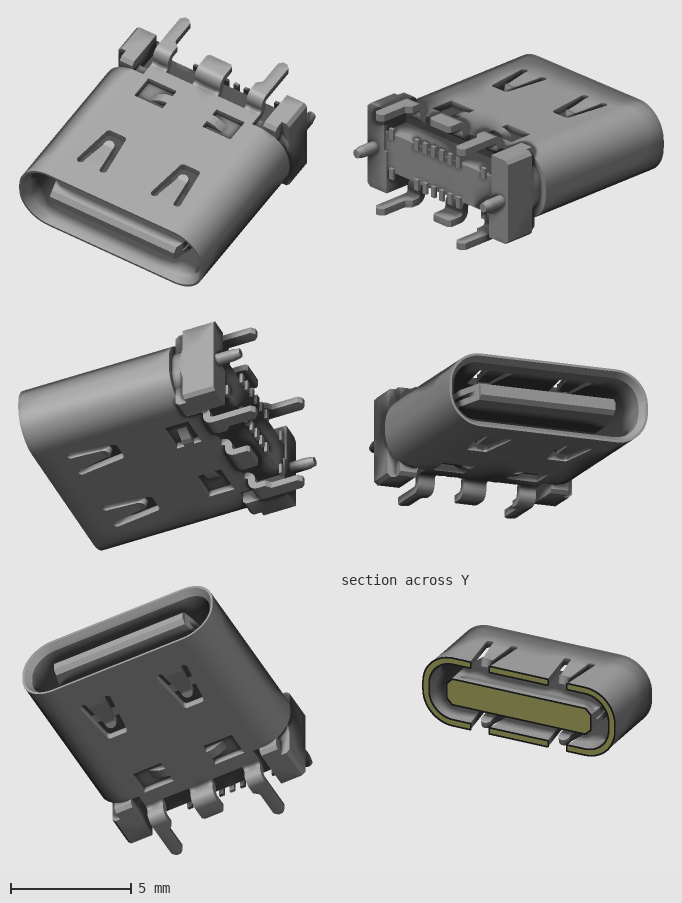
import cadquery as cq
import math


shell_width = 8.94
shell_height = 3.15
shell_corner = 1.41
shell_length = 6.85
wall = 0.31
rim = 0.1
lead_in_depth = 0.3
cavity_depth = 5.35
shell_top = shell_height / 2
inner_top = shell_top - wall

ledge_front = 7.43
plate_half_width = 2.65
ledge_half_width = 3.19
ledge_top = 0.87
ledge_rear = 8.67
collar_end = 7.21
flare_end = 7.35
flare = flare_end - collar_end

block_half_width = shell_width / 2 - wall
block_half_height = 1.9
block_rear = 8.75
block_step_half_width = 3.8
block_top_inner = ledge_half_width
block_bottom_inner = 3.03
block_chamfer = 0.15
peg_diameter = 0.5
peg_tip_diameter = 0.38
peg_x = 3.75
peg_shoulder = 9.48
peg_tip = 9.8

leg_tip = 9.9
legs_height = 4.6
leg_outer_z = legs_height / 2
leg_small_bend = 0.16
leg_large_bend = 0.46
leg_outer_x = plate_half_width
leg_wide = 0.74
leg_narrow = 0.51
leg_neck_front = 8.36
leg_neck_rear = 8.55
leg_tip_chamfer = 0.16
mid_leg_left = -0.61
mid_leg_top_right = 0.61
mid_leg_bottom_right = 0.42
mid_leg_chamfer = 0.1

contact_pitch = 0.495
contact_width = 0.23
contact_rear = 8.8
contact_low = 0.66
contact_high = 1.16
contact_slots = (0.5, 1.5, 2.5, 5.5)

tongue_front = 0.07
tongue_half_width = 3.36
tongue_nose_half_width = 3.03
tongue_half_height = 0.36
tongue_nose_half_height = 0.17
tongue_chamfer_end = 0.26
tongue_taper_end = 1.485
base_half_height = 0.6
base_slope_front = 2.94
base_front = 3.18
base_corner = 0.26
latch_groove_front = 0.495
latch_groove_height = 0.18
latch_groove_depth = 0.25

spring_x = 1.8
spring_root = 1.54
spring_root_half = 0.4
spring_neck = 2.63
spring_neck_half = 0.24
spring_dip = 0.08
spring_dip_end = 2.71
spring_tip = 2.98
slot_half_outer = 0.71
slot_front = 1.28
slot_rear = 3.46
slot_rear_half = 0.48
slot_corner = 0.16

barb_window_inner = 0.97
barb_window_outer = 2.35
barb_window_front = 5.64
barb_window_rear = 6.77
barb_front = 6.0
barb_rear = 6.43
barb_bend = 1.09
barb_knee = 1.3
barb_knee_drop = 0.05
barb_tip = 1.76


def box(x0, x1, y0, y1, z0, z1):
    return cq.Workplane("XY").box(x1 - x0, y1 - y0, z1 - z0, centered=False).translate((x0, y0, z0))


def facing_back(y):
    """Workplane at the given y whose extrusions run toward +Y."""
    return cq.Workplane("XZ", origin=(0, y, 0)).transformed(rotate=(0, 180, 0))


def profile_wire(inset, y):
    """Rounded shell outline, moved inward by inset."""
    slab = facing_back(y).rect(shell_width - 2 * inset, shell_height - 2 * inset).extrude(0.1)
    return slab.edges("|Y").fillet(shell_corner - inset).faces("<Y").wires().val()


def profile_prism(inset, y0, y1):
    face = cq.Face.makeFromWires(profile_wire(inset, y0))
    return cq.Workplane(cq.Solid.extrudeLinear(face, cq.Vector(0, y1 - y0, 0)))


def profile_taper(inset0, y0, inset1, y1):
    return cq.Workplane(cq.Solid.makeLoft([profile_wire(inset0, y0), profile_wire(inset1, y1)], True))


def flip(body):
    """Copy turned over to the underside."""
    return body.mirror("XY")


def mirror_x(body):
    return body.union(body.mirror("YZ"))


def make_shell():
    shell = profile_prism(0, 0, shell_length)
    cavity = profile_prism(wall, 0, cavity_depth)
    lead_in = profile_taper(rim, 0, wall, lead_in_depth)
    plates = box(-plate_half_width, plate_half_width, shell_length, ledge_front, -shell_top, shell_top)
    return shell.cut(cavity).cut(lead_in).union(plates)


def make_rear_plastic():
    collar = profile_prism(wall, cavity_depth, flare_end)
    flared_ring = profile_taper(wall, collar_end, wall - flare, flare_end)
    flared_ring = flared_ring.cut(
        box(-ledge_half_width, ledge_half_width, collar_end, flare_end, -shell_height, shell_height)
    )
    collar = collar.union(flared_ring)
    clip = box(-block_half_width, block_half_width, cavity_depth, flare_end, -shell_height, shell_height)
    middle_slab = box(-ledge_half_width, ledge_half_width, shell_length, ledge_front, -inner_top, inner_top)
    ledge = box(-ledge_half_width, ledge_half_width, ledge_front, ledge_rear, -ledge_top, ledge_top)
    return collar.intersect(clip).union(middle_slab).union(ledge)


def make_block_half(inner_x):
    """Upper half of the right-hand block."""
    rear = box(inner_x, block_half_width, flare_end, block_rear, 0, block_half_height)
    rear = rear.edges("|Y and >X and >Z").chamfer(block_chamfer)
    front = box(inner_x, block_step_half_width, shell_length, flare_end, 0, block_half_height)
    front = front.edges("|X and <Y and >Z").chamfer(block_chamfer)
    return rear.union(front)


def make_peg():
    return (
        cq.Workplane("XY")
        .moveTo(0, ledge_rear)
        .lineTo(peg_diameter / 2, ledge_rear)
        .lineTo(peg_diameter / 2, peg_shoulder)
        .lineTo(peg_tip_diameter / 2, peg_tip)
        .lineTo(0, peg_tip)
        .close()
        .revolve(360, (0, 0, 0), (0, 1, 0))
        .translate((peg_x, 0, 0))
    )


def make_leg_sheet():
    """S-bent sheet rising from the top plate and running back at leg height."""
    wall_outer = ledge_front + leg_small_bend
    wall_inner = wall_outer + wall
    low_center = shell_top + leg_small_bend
    high_y = wall_outer + leg_large_bend
    high_center = leg_outer_z - leg_large_bend
    diagonal = math.sqrt(0.5)
    outer_bend = leg_small_bend + wall
    inner_bend = leg_large_bend - wall
    return (
        cq.Workplane("YZ")
        .moveTo(ledge_front, inner_top)
        .lineTo(ledge_front, shell_top)
        .threePointArc(
            (ledge_front + leg_small_bend * diagonal, low_center - leg_small_bend * diagonal),
            (wall_outer, low_center),
        )
        .lineTo(wall_outer, high_center)
        .threePointArc(
            (high_y - leg_large_bend * diagonal, high_center + leg_large_bend * diagonal),
            (high_y, leg_outer_z),
        )
        .lineTo(leg_tip, leg_outer_z)
        .lineTo(leg_tip, leg_outer_z - wall)
        .lineTo(high_y, leg_outer_z - wall)
        .threePointArc(
            (high_y - inner_bend * diagonal, high_center + inner_bend * diagonal),
            (wall_inner, high_center),
        )
        .lineTo(wall_inner, low_center)
        .threePointArc(
            (ledge_front + outer_bend * diagonal, low_center - outer_bend * diagonal),
            (ledge_front, inner_top),
        )
        .close()
        .extrude(plate_half_width, both=True)
    )


def make_legs(mid_leg_right):
    inner_wide = leg_outer_x - leg_wide
    inner_narrow = leg_outer_x - leg_narrow
    side_plan = (
        cq.Workplane("XY")
        .polyline([
            (leg_outer_x, ledge_front),
            (leg_outer_x, leg_tip - leg_tip_chamfer),
            (leg_outer_x - leg_tip_chamfer, leg_tip),
            (inner_narrow + leg_tip_chamfer, leg_tip),
            (inner_narrow, leg_tip - leg_tip_chamfer),
            (inner_narrow, leg_neck_rear),
            (inner_wide, leg_neck_front),
            (inner_wide, ledge_front),
        ])
        .close()
        .extrude(leg_outer_z)
    )
    mid_plan = box(mid_leg_left, mid_leg_right, ledge_front, ledge_rear, 0, leg_outer_z)
    mid_plan = mid_plan.edges("|Z and >Y").chamfer(mid_leg_chamfer)
    return mirror_x(side_plan).union(mid_plan).intersect(make_leg_sheet())


def make_contacts():
    """Right-hand contact tails of the upper row."""
    tails = cq.Workplane("XY")
    for slot in contact_slots:
        left = slot * contact_pitch - contact_width / 2
        tails = tails.union(
            box(left, left + contact_width, ledge_rear, contact_rear, contact_low, contact_high)
        )
    return tails


def make_tongue():
    right_edge = [
        (tongue_nose_half_width, tongue_front),
        (tongue_nose_half_width, tongue_chamfer_end),
        (tongue_half_width, tongue_taper_end),
        (tongue_half_width, cavity_depth),
    ]
    left_edge = [(-x, y) for x, y in reversed(right_edge)]
    plan = cq.Workplane("XY").polyline(right_edge + left_edge).close()
    plan = plan.extrude(tongue_half_height, both=True)
    upper_side = [
        (tongue_front, tongue_nose_half_height),
        (tongue_chamfer_end, tongue_half_height),
        (cavity_depth, tongue_half_height),
    ]
    lower_side = [(y, -z) for y, z in reversed(upper_side)]
    side = cq.Workplane("YZ").polyline(upper_side + lower_side).close()
    blade = plan.intersect(side.extrude(tongue_half_width, both=True))
    groove = box(
        tongue_half_width - latch_groove_depth, tongue_half_width, latch_groove_front, base_slope_front,
        -latch_groove_height / 2, latch_groove_height / 2,
    )
    return blade.cut(mirror_x(groove)).union(make_tongue_base())


def make_tongue_base():
    base = (
        facing_back(base_slope_front)
        .rect(2 * tongue_half_width, 2 * base_half_height)
        .extrude(cavity_depth - base_slope_front)
        .edges("|Y")
        .chamfer(base_corner)
    )
    upper_side = [
        (base_slope_front, tongue_half_height),
        (base_front, base_half_height),
        (cavity_depth, base_half_height),
    ]
    lower_side = [(y, -z) for y, z in reversed(upper_side)]
    side = cq.Workplane("YZ").polyline(upper_side + lower_side).close()
    return base.intersect(side.extrude(tongue_half_width, both=True))


def make_spring_window():
    """A-shaped opening around the right-hand spring finger, legs of the A ending in half rounds."""
    leg_round = (slot_half_outer - spring_root_half) / 2
    leg_center = (slot_half_outer + spring_root_half) / 2
    round_y = slot_front + leg_round
    corner_y = slot_rear - slot_corner
    flat_half = slot_rear_half - slot_corner
    return (
        cq.Workplane("XY", origin=(spring_x, 0, inner_top))
        .moveTo(-slot_half_outer, round_y)
        .lineTo(-slot_rear_half, corner_y)
        .radiusArc((-flat_half, slot_rear), slot_corner)
        .lineTo(flat_half, slot_rear)
        .radiusArc((slot_rear_half, corner_y), slot_corner)
        .lineTo(slot_half_outer, round_y)
        .threePointArc((leg_center, slot_front), (spring_root_half, round_y))
        .lineTo(spring_root_half, spring_root)
        .lineTo(-spring_root_half, spring_root)
        .lineTo(-spring_root_half, round_y)
        .threePointArc((-leg_center, slot_front), (-slot_half_outer, round_y))
        .close()
        .extrude(wall)
    )


def make_spring():
    """Right-hand spring finger: dips inward from its root, then its round tip turns back up."""
    plan = (
        cq.Workplane("XY")
        .polyline([
            (-spring_root_half, spring_root),
            (-spring_neck_half, spring_neck),
            (-spring_neck_half, slot_rear),
            (spring_neck_half, slot_rear),
            (spring_neck_half, spring_neck),
            (spring_root_half, spring_root),
        ])
        .close()
        .extrude(shell_height)
    )
    low = shell_top - spring_dip
    tip_slope = spring_dip / (spring_tip - spring_dip_end)
    upper_side = [
        (spring_root, shell_top),
        (spring_neck, low),
        (spring_dip_end, low),
        (slot_rear, low + tip_slope * (slot_rear - spring_dip_end)),
    ]
    lower_side = [(y, z - wall) for y, z in reversed(upper_side)]
    side = cq.Workplane("YZ").polyline(upper_side + lower_side).close()
    finger = plan.intersect(side.extrude(shell_width, both=True))
    tip_trim = (
        cq.Workplane("XY")
        .moveTo(-spring_neck_half, -spring_neck_half)
        .threePointArc((0, 0), (spring_neck_half, -spring_neck_half))
        .lineTo(slot_half_outer, -spring_neck_half)
        .lineTo(slot_half_outer, -slot_rear)
        .lineTo(-slot_half_outer, -slot_rear)
        .lineTo(-slot_half_outer, -spring_neck_half)
        .close()
        .extrude(shell_height, both=True)
        .rotate((0, 0, 0), (1, 0, 0), math.degrees(math.atan(tip_slope)))
        .translate((0, spring_tip, shell_top))
    )
    return finger.intersect(tip_trim).translate((spring_x, 0, 0))


def make_barb_window():
    return box(
        barb_window_inner, barb_window_outer, barb_window_front, barb_window_rear, inner_top, shell_top
    )


def make_barb():
    """Right-hand barb, bending down from the inner edge of its window to the plastic below."""
    return (
        cq.Workplane("XZ", origin=(0, barb_rear, 0))
        .polyline([
            (barb_window_inner, inner_top),
            (barb_window_inner, shell_top),
            (barb_bend, shell_top),
            (barb_knee, shell_top - barb_knee_drop),
            (barb_tip, inner_top),
        ])
        .close()
        .extrude(barb_rear - barb_front)
    )


result = make_shell().union(make_rear_plastic()).union(make_tongue())

windows = mirror_x(make_spring_window().union(make_barb_window()))
fingers = mirror_x(make_spring().union(make_barb()))
result = result.cut(windows).cut(flip(windows))
result = result.union(fingers).union(flip(fingers))

blocks = make_block_half(block_top_inner).union(flip(make_block_half(block_bottom_inner)))
contacts = make_contacts()
rear_details = blocks.union(make_peg()).union(contacts).union(flip(contacts))
result = result.union(mirror_x(rear_details))

result = result.union(make_legs(mid_leg_top_right)).union(flip(make_legs(mid_leg_bottom_right)))